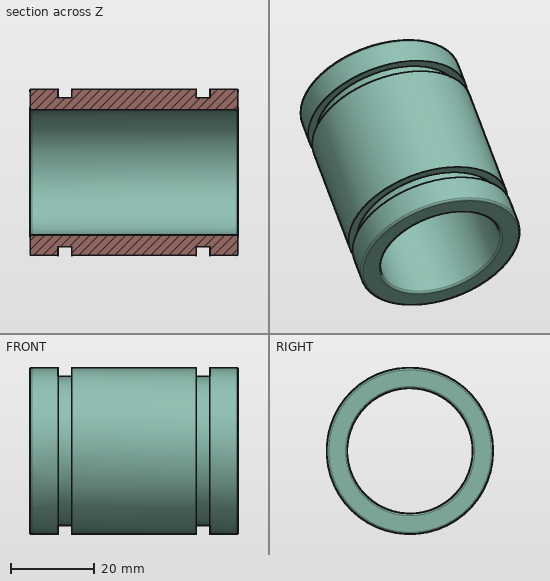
import cadquery as cq

length = 50.0
outer_diameter = 40.0
bore_diameter = 30.0
edge_radius = 0.5

groove_diameter = 35.9
groove_width = 3.25
groove_spacing = 29.9


def x_cylinder(diameter, start, width):
    """Solid cylinder along X, beginning at x = start."""
    return cq.Workplane("YZ").workplane(offset=start).circle(diameter / 2).extrude(width)


def make_sleeve():
    """Plain tube with rounded outer and bore edges at both ends."""
    bar = x_cylinder(outer_diameter, -length / 2, length)
    bore = x_cylinder(bore_diameter, -length / 2, length)
    return bar.cut(bore).faces("<X or >X").edges().fillet(edge_radius)


def make_groove(start):
    """Ring of material removed by one groove beginning at x = start."""
    ring = x_cylinder(outer_diameter, start, groove_width)
    return ring.cut(x_cylinder(groove_diameter, start, groove_width))


groove_starts = (-groove_spacing / 2 - groove_width, groove_spacing / 2)

result = make_sleeve()
for groove_start in groove_starts:
    result = result.cut(make_groove(groove_start))